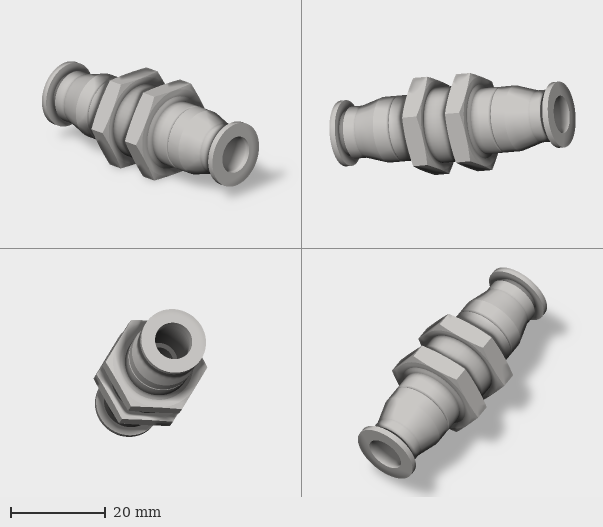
import cadquery as cq
import math

length = 50.9
half_length = length / 2
bore_diameter = 6.0
tube_socket_diameter = 8.0
tube_socket_depth = 16.0

flange_diameter = 13.95
neck_diameter = 9.65
sleeve_diameter = 11.05
barrel_diameter = 13.95
groove_diameter = 13.4
thread_diameter = 16.0

flange_end = 1.25
neck_end = 2.5
sleeve_end = 5.1
taper_end = 10.15
groove_start = 13.3
groove_end = 13.85
barrel_end = 17.85
thread_chamfer = 0.65

nut_across_flats = 19.0
nut_across_corners = nut_across_flats / math.cos(math.pi / 6)
nut_thickness = 4.0
nut_starts = (18.45, 28.4)
nut_face_diameter = 18.9
nut_chamfer = 0.35


def make_half_body():
    """Left half of the stepped body, turned about the X axis."""
    flange_radius = flange_diameter / 2
    neck_radius = neck_diameter / 2
    sleeve_radius = sleeve_diameter / 2
    barrel_radius = barrel_diameter / 2
    groove_radius = groove_diameter / 2
    thread_radius = thread_diameter / 2
    profile = (
        cq.Workplane("XY")
        .moveTo(0, 0)
        .lineTo(0, flange_radius)
        .lineTo(flange_end, flange_radius)
        .lineTo(flange_end, neck_radius)
        .lineTo(neck_end, neck_radius)
        .lineTo(neck_end, sleeve_radius)
        .lineTo(sleeve_end, sleeve_radius)
        .lineTo(taper_end, barrel_radius)
        .lineTo(groove_start, barrel_radius)
        .lineTo((groove_start + groove_end) / 2, groove_radius)
        .lineTo(groove_end, barrel_radius)
        .lineTo(barrel_end, barrel_radius)
        .lineTo(barrel_end + thread_chamfer, thread_radius)
        .lineTo(half_length, thread_radius)
        .lineTo(half_length, 0)
        .close()
    )
    body = profile.revolve(360, (0, 0, 0), (1, 0, 0))
    return body.translate((-half_length, 0, 0))


def make_nut(start):
    """Hexagon nut with flats facing +Z and -Z and both faces chamfered at the corners."""
    hexagon = cq.Workplane("YZ").polygon(6, nut_across_corners).extrude(nut_thickness)
    face_radius = nut_face_diameter / 2
    corner_radius = nut_across_corners / 2
    envelope = (
        cq.Workplane("XY")
        .moveTo(0, 0)
        .lineTo(0, face_radius)
        .lineTo(nut_chamfer, corner_radius)
        .lineTo(nut_thickness - nut_chamfer, corner_radius)
        .lineTo(nut_thickness, face_radius)
        .lineTo(nut_thickness, 0)
        .close()
        .revolve(360, (0, 0, 0), (1, 0, 0))
    )
    return hexagon.intersect(envelope).translate((start - half_length, 0, 0))


left_half = make_half_body()
result = left_half.union(left_half.mirror("YZ"))

for nut_start in nut_starts:
    result = result.union(make_nut(nut_start))

bore = cq.Workplane("YZ").circle(bore_diameter / 2).extrude(half_length, both=True)
socket = (
    cq.Workplane("YZ", origin=(-half_length, 0, 0))
    .circle(tube_socket_diameter / 2)
    .extrude(tube_socket_depth)
)
result = result.cut(bore).cut(socket).cut(socket.mirror("YZ"))